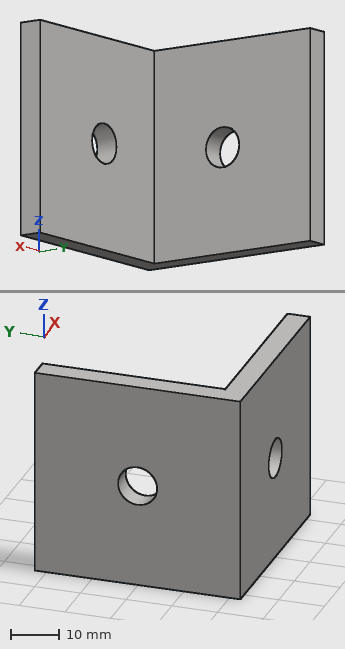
import cadquery as cq

leg_length = 45.0
height = 45.0
thickness = 5.0
hole_diameter = 8.5

bracket = (
    cq.Workplane("XY")
    .moveTo(0, 0)
    .lineTo(leg_length, 0)
    .lineTo(leg_length, thickness)
    .lineTo(thickness, thickness)
    .lineTo(thickness, leg_length)
    .lineTo(0, leg_length)
    .close()
    .extrude(height)
)


def leg_hole(center, direction):
    """Cylinder that starts on a leg's outer face and passes through the leg."""
    return cq.Workplane(
        cq.Solid.makeCylinder(hole_diameter / 2, thickness, cq.Vector(*center), cq.Vector(*direction))
    )


front_hole = leg_hole((leg_length / 2, 0, height / 2), (0, 1, 0))
side_hole = leg_hole((0, leg_length / 2, height / 2), (1, 0, 0))

result = bracket.cut(front_hole).cut(side_hole)